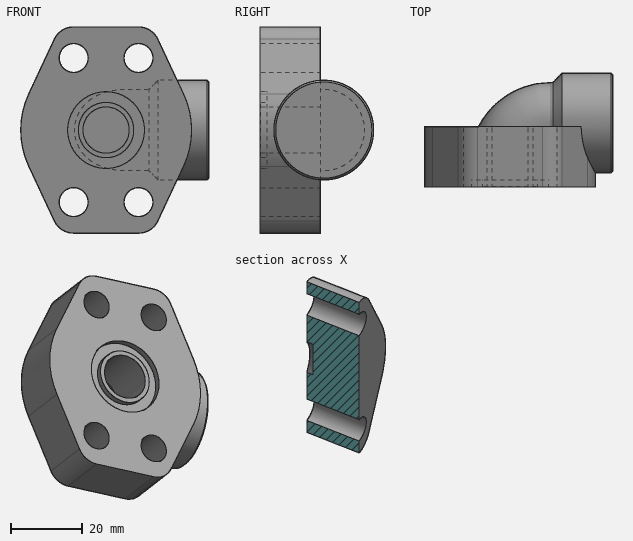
import cadquery as cq
import math

flange_thickness = 17.0
flange_half_height = 29
flange_side_radius = 24.0
corner_radius = 6.05
bolt_x = 9.1
bolt_z = 20.25
bolt_diameter = 8.05

port_diameter = 13.0
port_depth = flange_thickness
groove_outer_diameter = 21.6
groove_inner_diameter = 15.55
groove_depth = 2.0
lip_setback = 0.2

outlet_y = 18
elbow_radius = 11.4
bend_radius = 11.5
cone_start_x = 12.0
collar_radius = 14.05
collar_end_x = 28.9
collar_chamfer = 0.5


def make_flange():
    """Plate whose straight sides are tangent to the side arcs and the corner arcs."""
    corner_x = bolt_x
    corner_z = flange_half_height - corner_radius
    center_distance = math.hypot(corner_x, corner_z)
    slope = math.atan2(corner_z, corner_x) - math.acos(
        (flange_side_radius - corner_radius) / center_distance
    )
    side_x = flange_side_radius * math.cos(slope)
    side_z = flange_side_radius * math.sin(slope)
    corner_end_x = corner_x + corner_radius * math.cos(slope)
    corner_end_z = corner_z + corner_radius * math.sin(slope)
    middle_angle = (slope + math.pi / 2) / 2
    corner_mid_x = corner_x + corner_radius * math.cos(middle_angle)
    corner_mid_z = corner_z + corner_radius * math.sin(middle_angle)
    return (
        cq.Workplane("XZ")
        .moveTo(side_x, -side_z)
        .threePointArc((flange_side_radius, 0), (side_x, side_z))
        .lineTo(corner_end_x, corner_end_z)
        .threePointArc((corner_mid_x, corner_mid_z), (corner_x, flange_half_height))
        .lineTo(-corner_x, flange_half_height)
        .threePointArc((-corner_mid_x, corner_mid_z), (-corner_end_x, corner_end_z))
        .lineTo(-side_x, side_z)
        .threePointArc((-flange_side_radius, 0), (-side_x, -side_z))
        .lineTo(-corner_end_x, -corner_end_z)
        .threePointArc((-corner_mid_x, -corner_mid_z), (-corner_x, -flange_half_height))
        .lineTo(corner_x, -flange_half_height)
        .threePointArc((corner_mid_x, -corner_mid_z), (corner_end_x, -corner_end_z))
        .close()
        .extrude(-flange_thickness)
    )


def make_elbow():
    """Quarter bend that turns from the port axis to the outlet axis."""
    bend_center_y = outlet_y - bend_radius
    return (
        cq.Workplane("XZ", origin=(0, bend_center_y, 0))
        .circle(elbow_radius)
        .revolve(90, (bend_radius, 0.6, 0), (bend_radius, -0.6, 0))
    )


def make_outlet():
    """Short neck, 45 degree cone and chamfered collar, turned about the outlet axis."""
    cone_end_x = cone_start_x + collar_radius - elbow_radius
    return (
        cq.Workplane("XY", origin=(0, outlet_y, 0))
        .moveTo(bend_radius, 0)
        .lineTo(bend_radius, elbow_radius)
        .lineTo(cone_start_x, elbow_radius)
        .lineTo(cone_end_x, collar_radius)
        .lineTo(collar_end_x - collar_chamfer, collar_radius)
        .lineTo(collar_end_x, collar_radius - collar_chamfer)
        .lineTo(collar_end_x, 0)
        .close()
        .revolve(360, (0, 0, 0), (1, 0, 0))
    )


def front_cut(diameter, depth):
    """Round cutter going into the front face along the port axis."""
    return cq.Workplane("XZ").circle(diameter / 2).extrude(-depth)


body = make_flange().union(make_elbow()).union(make_outlet())

bolt_holes = (
    cq.Workplane("XZ")
    .rect(2 * bolt_x, 2 * bolt_z, forConstruction=True)
    .vertices()
    .circle(bolt_diameter / 2)
    .extrude(-flange_thickness)
)
groove = front_cut(groove_outer_diameter, groove_depth).cut(
    front_cut(groove_inner_diameter, groove_depth)
)
lip_relief = front_cut(groove_inner_diameter, lip_setback)
port = front_cut(port_diameter, port_depth)

result = body.cut(bolt_holes).cut(groove).cut(lip_relief).cut(port)